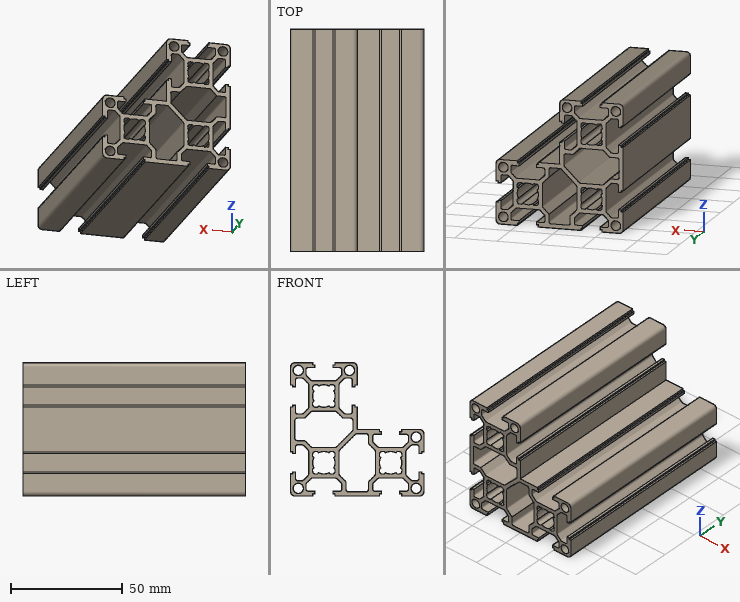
import cadquery as cq
import math

CELL = 30.0
LENGTH = 100.0
OUTER_RADIUS = 2.0
SIDE = 2 * CELL
HALF = CELL / 2

MOUTH_WIDTH = 9.8
MOUTH_DEPTH = 1.0
NECK_WIDTH = 8.2
LIP_THICKNESS = 2.3
SLOT_WIDTH = 16.0
SLOT_DEPTH = 8.1
SLOT_BEVEL = 2.5
SLOT_RADIUS = 0.8
BEVEL_RADIUS = 1.0

WALL = 2.0
CHAMBER_RADIUS = 1.0

BORE = 10.0
BORE_RADIUS = 1.2
BORE_CHANNEL = 3.0

CORNER_HOLE = 4.5
CORNER_HOLE_INSET = 3.5

CELLS = [
    ((HALF, HALF), (0, 270)),
    ((HALF, CELL + HALF), (90, 180, 270)),
    ((CELL + HALF, HALF), (0, 90, 180)),
]
HOLE_NEAR = CORNER_HOLE_INSET
HOLE_MID = CELL - CORNER_HOLE_INSET
HOLE_FAR = SIDE - CORNER_HOLE_INSET
CORNER_HOLES = [
    (HOLE_NEAR, HOLE_NEAR),
    (HOLE_NEAR, HOLE_FAR),
    (HOLE_MID, HOLE_FAR),
    (HOLE_FAR, HOLE_NEAR),
    (HOLE_FAR, HOLE_MID),
]


def section():
    """Sketch plane for the profile: local x, y are global X, Z."""
    return cq.Workplane("XZ")


def along_length(sketch):
    """Extrude a closed profile toward +Y over the full length."""
    return sketch.extrude(-LENGTH)


def toward(start, end, distance):
    """Point at a distance from start on the way to end."""
    span = math.dist(start, end)
    return tuple(a + (b - a) * distance / span for a, b in zip(start, end))


def rounded_prism(corners):
    """Prism over a polygon of (x, z, radius) corners; radius 0 stays sharp."""
    sketch = section()
    for i, (x, z, radius) in enumerate(corners):
        corner = (x, z)
        before = corners[i - 1][:2]
        after = corners[(i + 1) % len(corners)][:2]
        back = math.atan2(before[1] - z, before[0] - x)
        ahead = math.atan2(after[1] - z, after[0] - x)
        half_angle = math.acos(math.cos(ahead - back)) / 2
        setback = radius / math.tan(half_angle)
        start = toward(corner, before, setback)
        sketch = sketch.moveTo(*start) if i == 0 else sketch.lineTo(*start)
        if radius > 0:
            end = toward(corner, after, setback)
            bisector_point = toward(start, end, math.dist(start, end) / 2)
            crown = toward(corner, bisector_point, radius / math.sin(half_angle) - radius)
            sketch = sketch.threePointArc(crown, end)
    return along_length(sketch.close())


def outer_body():
    return rounded_prism([
        (0, 0, OUTER_RADIUS),
        (SIDE, 0, OUTER_RADIUS),
        (SIDE, CELL, OUTER_RADIUS),
        (CELL, CELL, 0),
        (CELL, SIDE, OUTER_RADIUS),
        (0, SIDE, OUTER_RADIUS),
    ])


def slot():
    """T-slot in the bottom face of a cell centred on the Y axis, sketched from its right half."""
    floor = SLOT_DEPTH - HALF
    right_side = [
        (MOUTH_WIDTH / 2, -HALF, 0),
        (MOUTH_WIDTH / 2, MOUTH_DEPTH - HALF, 0),
        (NECK_WIDTH / 2, MOUTH_DEPTH - HALF, 0),
        (NECK_WIDTH / 2, LIP_THICKNESS - HALF, 0),
        (SLOT_WIDTH / 2, LIP_THICKNESS - HALF, SLOT_RADIUS),
        (SLOT_WIDTH / 2, floor - SLOT_BEVEL, BEVEL_RADIUS),
        (SLOT_WIDTH / 2 - SLOT_BEVEL, floor, BEVEL_RADIUS),
    ]
    left_side = [(-x, z, radius) for x, z, radius in reversed(right_side)]
    return rounded_prism(right_side + left_side)


def chamber(mirrored):
    """Chamber between the corner cell and the upper cell, or its mirror image across x = z."""
    left = WALL
    right = CELL - WALL
    core_bottom = CELL - SLOT_DEPTH
    core_top = CELL + SLOT_DEPTH
    bottom = HALF + SLOT_WIDTH / 2 + WALL
    top = SIDE - bottom
    slope_rise = bottom - core_bottom
    web_offset = WALL / math.sqrt(2)
    bevel_start = HALF - SLOT_WIDTH / 2 + SLOT_BEVEL
    corners = [
        (left, bottom, CHAMBER_RADIUS),
        (bevel_start - slope_rise, bottom, 0),
        (bevel_start, core_bottom, BEVEL_RADIUS),
        (core_bottom - web_offset, core_bottom, BEVEL_RADIUS),
        (right, right + web_offset, BEVEL_RADIUS),
        (right, top, CHAMBER_RADIUS),
        (CELL - bevel_start + slope_rise, top, 0),
        (CELL - bevel_start, core_top, BEVEL_RADIUS),
        (bevel_start, core_top, BEVEL_RADIUS),
        (bevel_start - slope_rise, top, 0),
        (left, top, CHAMBER_RADIUS),
    ]
    if mirrored:
        corners = [(z, x, radius) for x, z, radius in corners]
    return rounded_prism(corners)


def core_bore():
    """Round bore with four corner pockets left by two crossing diagonal channels."""
    square = along_length(section().rect(BORE, BORE)).edges("|Y").fillet(BORE_RADIUS)
    channel = along_length(section().rect(2 * BORE, BORE_CHANNEL))
    axis_start = (0, 0, 0)
    axis_end = (0, 1, 0)
    rising = channel.rotate(axis_start, axis_end, 45)
    falling = channel.rotate(axis_start, axis_end, -45)
    pockets = square.intersect(rising.union(falling))
    return along_length(section().circle(BORE / 2)).union(pockets)


def build():
    body = outer_body()
    bore_cutter = core_bore()
    slot_cutter = slot()
    for (x, z), faces in CELLS:
        body = body.cut(bore_cutter.translate((x, 0, z)))
        for angle in faces:
            turned = slot_cutter.rotate((0, 0, 0), (0, -1, 0), angle)
            body = body.cut(turned.translate((x, 0, z)))
    for mirrored in (False, True):
        body = body.cut(chamber(mirrored))
    holes = along_length(section().pushPoints(CORNER_HOLES).circle(CORNER_HOLE / 2))
    return body.cut(holes)


result = build()